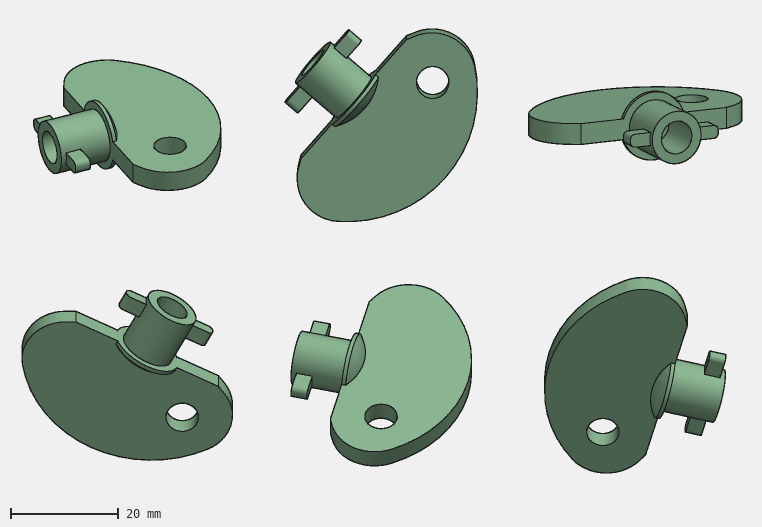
import cadquery as cq
import math

PLATE_LENGTH = 41.95
PLATE_HEIGHT = 22.55
PLATE_THICKNESS = 4.0
END_RADIUS = 8.0
END_CENTER_X = PLATE_LENGTH / 2 - END_RADIUS
END_CENTER_Y = 8.0
FOOT_HALF_WIDTH = 14.9
FOOT_ARC_X = 16.7
HOLE_DIAMETER = 6.0
HOLE_X = 12.0
HOLE_Y = 9.0

COLLAR_DIAMETER = 12.95
COLLAR_RIM = 0.75
DOME_HEIGHT = 2.1

STEM_DIAMETER = 10.0
STEM_LENGTH = 10.0
BORE_DIAMETER = 6.2

LUG_SPAN = 18.05
LUG_WIDTH = 3.02
LUG_THICKNESS = 2.48
LUG_CORNER_RADIUS = 1.0
LUG_END_GAP = 1.0


def handle_plate():
    """Bean-shaped plate: a crown arc tangent to two end arcs, with a flat foot."""
    rise = PLATE_HEIGHT - END_CENTER_Y
    crown_radius = (END_CENTER_X**2 + rise**2 - END_RADIUS**2) / (2 * (rise - END_RADIUS))
    crown_center_y = PLATE_HEIGHT - crown_radius
    tangent_angle = math.atan2(END_CENTER_Y - crown_center_y, END_CENTER_X)
    joint_x = crown_radius * math.cos(tangent_angle)
    joint_y = crown_center_y + crown_radius * math.sin(tangent_angle)
    foot_arc_y = END_CENTER_Y - math.sqrt(END_RADIUS**2 - (FOOT_ARC_X - END_CENTER_X) ** 2)

    plate = (
        cq.Workplane("XY")
        .moveTo(-FOOT_HALF_WIDTH, 0)
        .lineTo(FOOT_HALF_WIDTH, 0)
        .lineTo(FOOT_ARC_X, foot_arc_y)
        .threePointArc((PLATE_LENGTH / 2, END_CENTER_Y), (joint_x, joint_y))
        .threePointArc((0, PLATE_HEIGHT), (-joint_x, joint_y))
        .threePointArc((-PLATE_LENGTH / 2, END_CENTER_Y), (-FOOT_ARC_X, foot_arc_y))
        .close()
        .extrude(PLATE_THICKNESS / 2, both=True)
    )
    hole = (
        cq.Workplane("XY")
        .center(HOLE_X, HOLE_Y)
        .circle(HOLE_DIAMETER / 2)
        .extrude(PLATE_THICKNESS, both=True)
    )
    return plate.cut(hole)


def domed_collar():
    """Short cylindrical rim capped by a spherical dome, revolved about Y."""
    collar_radius = COLLAR_DIAMETER / 2
    dome_radius = (collar_radius**2 + DOME_HEIGHT**2) / (2 * DOME_HEIGHT)
    apex_y = COLLAR_RIM + DOME_HEIGHT
    mid_x = collar_radius / 2
    mid_y = apex_y - dome_radius + math.sqrt(dome_radius**2 - mid_x**2)
    return (
        cq.Workplane("XY")
        .lineTo(collar_radius, 0)
        .lineTo(collar_radius, COLLAR_RIM)
        .threePointArc((mid_x, mid_y), (0, apex_y))
        .close()
        .revolve(360, (0, 0, 0), (0, 1, 0))
    )


def stem_cylinder(diameter):
    """Cylinder along -Y from the shoulder to the stem end."""
    return cq.Workplane("XZ").circle(diameter / 2).extrude(STEM_LENGTH)


def cross_lugs():
    """Bar across the stem with rounded outer ends."""
    center_y = -STEM_LENGTH + LUG_END_GAP + LUG_WIDTH / 2
    return (
        cq.Workplane("XY")
        .box(LUG_SPAN, LUG_WIDTH, LUG_THICKNESS)
        .edges("|Y")
        .fillet(LUG_CORNER_RADIUS)
        .translate((0, center_y, 0))
    )


stem = stem_cylinder(STEM_DIAMETER).union(cross_lugs()).cut(stem_cylinder(BORE_DIAMETER))
result = handle_plate().union(domed_collar()).union(stem)